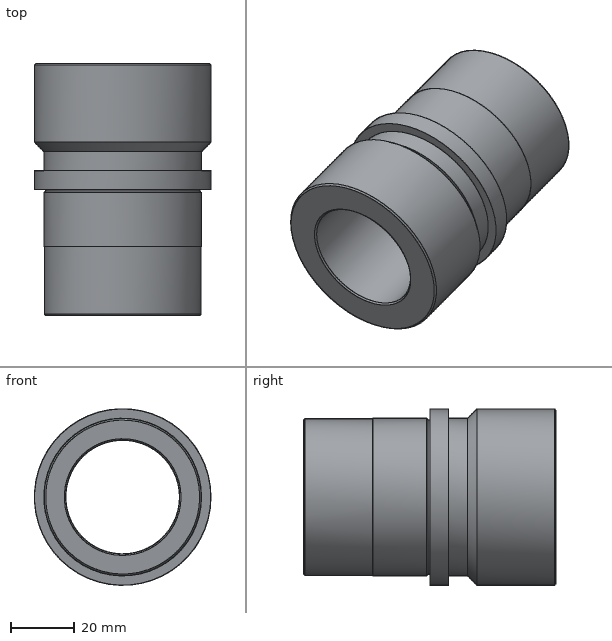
import cadquery as cq

total_length = 80.0
collar_radius = 28.0
spigot_radius = 25.0
bore_radius = 18.0
edge_chamfer = 0.5

tip_length = 22.0
flange_start = 40.0
flange_width = 6.0
neck_width = 6.0
collar_cone_length = 3.0

tip_step = 0.1
tip_radius = spigot_radius - tip_step

relief_width = 0.5
relief_depth = 0.5

flange_end = flange_start + flange_width
neck_end = flange_end + neck_width
cone_end = neck_end + collar_cone_length


def turned(profile):
    """Revolve a profile of (radius, y) points around the Y axis."""
    return cq.Workplane("XY").polyline(profile).close().revolve(360, (0, 0, 0), (0, 1, 0))


def make_body():
    """Solid turned outside: stepped spigot, flange, neck, cone and collar."""
    profile = [
        (0, 0),
        (tip_radius - edge_chamfer, 0),
        (tip_radius, edge_chamfer),
        (tip_radius, tip_length - tip_step),
        (spigot_radius, tip_length),
        (spigot_radius, flange_start),
        (collar_radius, flange_start),
        (collar_radius, flange_end),
        (spigot_radius, flange_end),
        (spigot_radius, neck_end),
        (collar_radius, cone_end),
        (collar_radius, total_length - edge_chamfer),
        (collar_radius - edge_chamfer, total_length),
        (0, total_length),
    ]
    return turned(profile)


def make_bore():
    """Through bore with a chamfer at both ends."""
    mouth_radius = bore_radius + edge_chamfer
    profile = [
        (0, 0),
        (mouth_radius, 0),
        (bore_radius, edge_chamfer),
        (bore_radius, total_length - edge_chamfer),
        (mouth_radius, total_length),
        (0, total_length),
    ]
    return turned(profile)


def make_relief():
    """Ring cut against the flange, bevelled at 45 degrees on the spigot side."""
    floor_radius = spigot_radius - relief_depth
    floor_start = flange_start - relief_width
    profile = [
        (spigot_radius, floor_start - relief_depth),
        (spigot_radius, flange_start),
        (floor_radius, flange_start),
        (floor_radius, floor_start),
    ]
    return turned(profile)


result = make_body().cut(make_bore()).cut(make_relief())